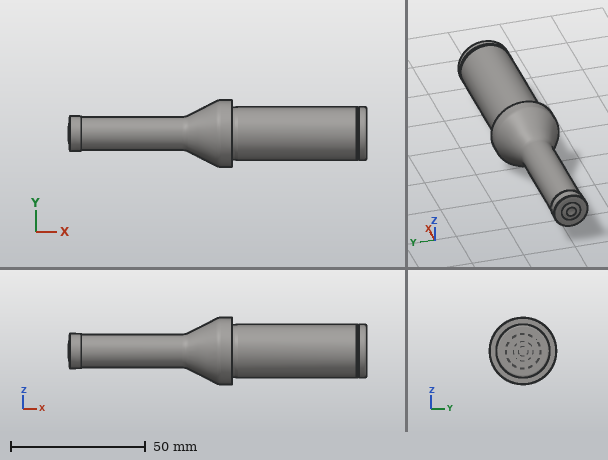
import cadquery as cq
import math

LENGTH = 111.0
X_MIN = -LENGTH / 2
TIP_LENGTH = 4.9
NECK_END = 42.5
FLANGE_RIM_START = 56.7
FLANGE_END = 60.9
RELIEF_END = 62.0
RELIEF_TAPER_END = 63.0
GROOVE_START = 107.0
GROOVE_FLOOR_START = 107.7
GROOVE_END = 108.1

TIP_DIAMETER = 13.2
TIP_BACK_DIAMETER = 13.0
NECK_DIAMETER = 12.4
FLANGE_DIAMETER = 25.0
SHANK_DIAMETER = 20.0
RELIEF_DIAMETER = 19.5

CONE_START = 44.7
CONE_START_DIAMETER = 13.5
CONE_END = 55.2
CONE_END_DIAMETER = 24.2

TIP_CHAMFER = 0.2
FLANGE_CHAMFER = 0.2
SHANK_END_RADIUS = 1.0

FACE_SETBACK = 0.4
FACE_DIAMETER = 10.3
FACE_BEVEL = 0.1
BOSS_DIAMETER = 7.3
BOSS_RIM_HEIGHT = 0.1
DIMPLE_DIAMETER = 3.7
DIMPLE_DEPTH = 0.3


def revolve_about_axis(profile):
    """Revolve a closed half profile, drawn from x = 0, about the X axis."""
    return profile.close().revolve(360, (0, 0, 0), (1, 0, 0)).translate((X_MIN, 0, 0))


def make_tip():
    """Slightly back-tapered tip with a low conical boss and a centre dimple."""
    radius = TIP_DIAMETER / 2
    face_edge_x = FACE_SETBACK + FACE_BEVEL
    profile = (
        cq.Workplane("XY")
        .moveTo(TIP_LENGTH, 0)
        .lineTo(DIMPLE_DEPTH, 0)
        .lineTo(0, DIMPLE_DIAMETER / 2)
        .lineTo(FACE_SETBACK - BOSS_RIM_HEIGHT, BOSS_DIAMETER / 2)
        .lineTo(FACE_SETBACK, BOSS_DIAMETER / 2)
        .lineTo(FACE_SETBACK, FACE_DIAMETER / 2)
        .lineTo(face_edge_x, radius - TIP_CHAMFER)
        .lineTo(face_edge_x + TIP_CHAMFER, radius)
        .lineTo(TIP_LENGTH, TIP_BACK_DIAMETER / 2)
    )
    return revolve_about_axis(profile)


def make_holder():
    """Neck, flared flange and shank turned from one piece."""
    neck = NECK_DIAMETER / 2
    flange = FLANGE_DIAMETER / 2
    shank = SHANK_DIAMETER / 2
    relief = RELIEF_DIAMETER / 2
    round_diagonal = SHANK_END_RADIUS * math.sqrt(0.5)
    round_centre_x = LENGTH - SHANK_END_RADIUS
    round_centre_radius = shank - SHANK_END_RADIUS
    profile = (
        cq.Workplane("XY")
        .moveTo(TIP_LENGTH, 0)
        .lineTo(TIP_LENGTH, neck)
        .lineTo(NECK_END, neck)
        .tangentArcPoint((CONE_START, CONE_START_DIAMETER / 2), relative=False)
        .lineTo(CONE_END, CONE_END_DIAMETER / 2)
        .tangentArcPoint((FLANGE_RIM_START, flange), relative=False)
        .lineTo(FLANGE_END - FLANGE_CHAMFER, flange)
        .lineTo(FLANGE_END, flange - FLANGE_CHAMFER)
        .lineTo(FLANGE_END, relief)
        .lineTo(RELIEF_END, relief)
        .lineTo(RELIEF_TAPER_END, shank)
        .lineTo(GROOVE_START, shank)
        .lineTo(GROOVE_FLOOR_START, relief)
        .lineTo(GROOVE_END, relief)
        .lineTo(GROOVE_END, shank)
        .lineTo(round_centre_x, shank)
        .threePointArc(
            (round_centre_x + round_diagonal, round_centre_radius + round_diagonal),
            (LENGTH, round_centre_radius),
        )
        .lineTo(LENGTH, 0)
    )
    return revolve_about_axis(profile)


tip = make_tip()
holder = make_holder()

result = cq.Compound.makeCompound([tip.val(), holder.val()])